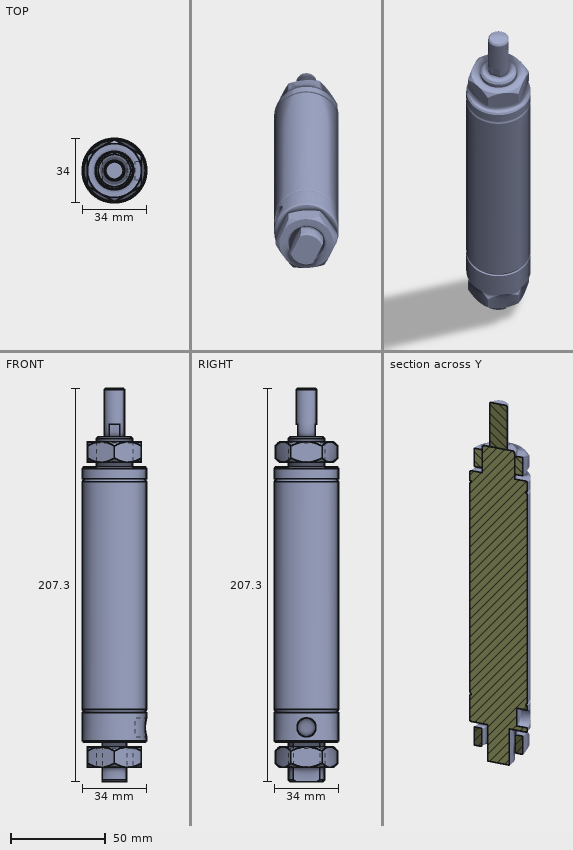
import cadquery as cq
import math


total_height = 207.3
barrel_bottom = 21.0
barrel_top = 165.8
collar_top = 181.8
rod_flat_top = 188.2

barrel_diameter = 34.0
barrel_chamfer = 0.8

lower_ledge = 36.5
upper_ledge = 159.5
groove_depth = 1.0
groove_width = 1.7

stud_diameter = 19.0
stud_chamfer = 1.0
tail_across_flats = 12.9

port_diameter = 10.0
port_depth = 6.2
port_height = (barrel_bottom + lower_ledge) / 2

rod_diameter = 10.8
rod_chamfer = 0.8
rod_across_flats = 9.3

nut_across_flats = 28.4
nut_height = 10.8
nut_bore_chamfer = 0.6
nut_bottoms = (7.7, 168.3)


def cylinder(diameter, bottom, top):
    return cq.Workplane("XY").workplane(offset=bottom).circle(diameter / 2).extrude(top - bottom)


def slab(x_size, y_size, bottom, top):
    """Box centred on the Z axis, used to trim a round shape to flats."""
    return cq.Workplane("XY").workplane(offset=bottom).rect(x_size, y_size).extrude(top - bottom)


def groove_ring(ledge_height, toward_middle):
    """Ring that cuts a groove with a flat ledge and a bevel rising toward mid-barrel."""
    radius = barrel_diameter / 2
    return (
        cq.Workplane("XZ")
        .moveTo(radius, ledge_height)
        .lineTo(radius - groove_depth, ledge_height)
        .lineTo(radius, ledge_height + toward_middle * groove_width)
        .close()
        .revolve(360, (0, 0, 0), (0, 1, 0))
    )


def port_hole():
    bottom_x = barrel_diameter / 2 - port_depth
    return (
        cq.Workplane("YZ")
        .workplane(offset=bottom_x)
        .center(0, port_height)
        .circle(port_diameter / 2)
        .extrude(barrel_diameter)
    )


def make_housing():
    barrel = cylinder(barrel_diameter, barrel_bottom, barrel_top).edges().chamfer(barrel_chamfer)
    barrel = barrel.cut(groove_ring(lower_ledge, 1)).cut(groove_ring(upper_ledge, -1))
    barrel = barrel.cut(port_hole())
    collar = cylinder(stud_diameter, barrel_top, collar_top).edges(">Z").chamfer(stud_chamfer)
    tail = cylinder(stud_diameter, 0, barrel_bottom).edges("<Z").chamfer(stud_chamfer)
    tail = tail.intersect(slab(tail_across_flats, stud_diameter, 0, barrel_bottom))
    return barrel.union(collar).union(tail)


def make_rod():
    """Rod standing on the collar, with two wrench flats facing -Y and +Y at its foot."""
    foot = cylinder(rod_diameter, collar_top, rod_flat_top)
    foot = foot.intersect(slab(rod_diameter, rod_across_flats, collar_top, rod_flat_top))
    shank = cylinder(rod_diameter, rod_flat_top, total_height).edges(">Z").chamfer(rod_chamfer)
    return foot.union(shank)


def make_nut(bottom):
    """Hexagon nut with flats facing -X and +X and both ends chamfered by a cone."""
    corner_diameter = nut_across_flats / math.cos(math.pi / 6)
    corner_chamfer = (corner_diameter - nut_across_flats) / 2
    hexagon = (
        cq.Workplane("XY")
        .workplane(offset=bottom)
        .transformed(rotate=(0, 0, 90))
        .polygon(6, corner_diameter)
        .extrude(nut_height)
    )
    envelope = cylinder(corner_diameter, bottom, bottom + nut_height).edges().chamfer(corner_chamfer)
    bore = cylinder(stud_diameter, bottom, bottom + nut_height)
    nut = hexagon.intersect(envelope).cut(bore)
    return nut.edges(cq.selectors.RadiusNthSelector(0)).chamfer(nut_bore_chamfer)


housing = make_housing()
rod = make_rod()
nuts = [make_nut(bottom) for bottom in nut_bottoms]

result = cq.Compound.makeCompound([housing.val(), rod.val(), *[nut.val() for nut in nuts]])